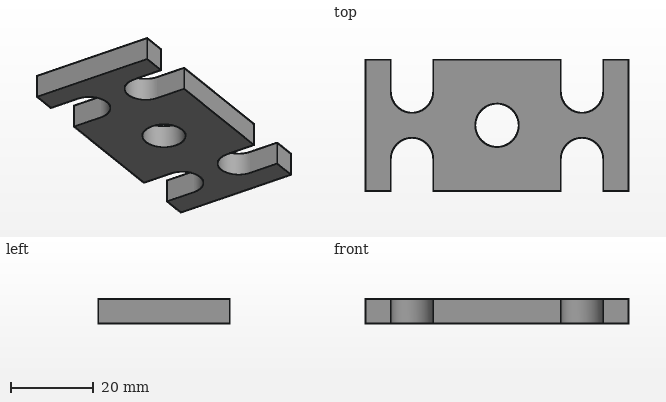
import cadquery as cq

length = 63.5
width = 31.75
thickness = 6.0

hole_diameter = 10.4

slot_width = 10.15
slot_depth = 12.8
end_bar_width = 6.15

slot_radius = slot_width / 2
slot_x = length / 2 - end_bar_width - slot_radius
slot_arc_y = width / 2 - slot_depth + slot_radius


def edge_slot(x_side, y_side):
    """Through slot running from a long edge to a semicircular inner end."""
    center_x = x_side * slot_x
    arc_y = y_side * slot_arc_y
    edge_y = y_side * width / 2
    return (
        cq.Workplane("XY")
        .moveTo(center_x - slot_radius, edge_y)
        .lineTo(center_x - slot_radius, arc_y)
        .threePointArc(
            (center_x, arc_y - y_side * slot_radius),
            (center_x + slot_radius, arc_y),
        )
        .lineTo(center_x + slot_radius, edge_y)
        .close()
        .extrude(thickness / 2, both=True)
    )


plate = cq.Workplane("XY").box(length, width, thickness)
plate = plate.faces(">Z").workplane().hole(hole_diameter)

for x_side in (-1, 1):
    for y_side in (-1, 1):
        plate = plate.cut(edge_slot(x_side, y_side))

result = plate